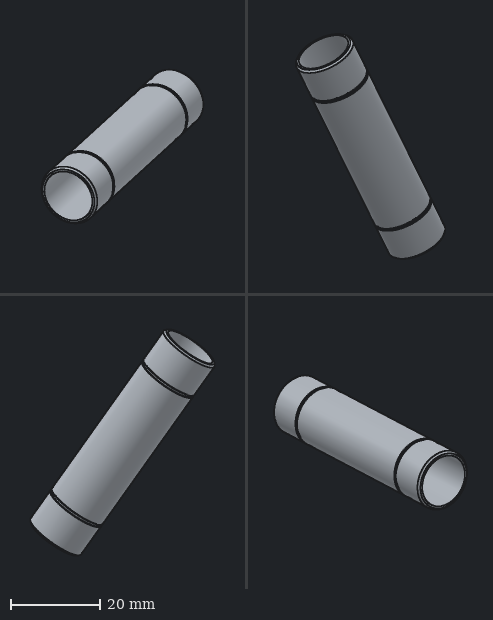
import cadquery as cq

length = 54.0
outer_diameter = 14.0
bore_diameter = 12.0
groove_diameter = 13.2
groove_width = 0.65
groove_offset = 8.4
chamfer = 0.5


def cylinder_along_y(diameter, start, span):
    """Solid cylinder on the Y axis, from y = start to y = start + span."""
    return cq.Workplane(cq.Solid.makeCylinder(
        diameter / 2, span, cq.Vector(0, start, 0), cq.Vector(0, 1, 0)))


def groove_ring(start):
    """Ring of material removed from the outside to form one groove."""
    outside = cylinder_along_y(outer_diameter, start, groove_width)
    return outside.cut(cylinder_along_y(groove_diameter, start, groove_width))


end = length / 2
body = cylinder_along_y(outer_diameter, -end, length)
body = body.faces("<Y or >Y").edges().chamfer(chamfer)

tube = body.cut(cylinder_along_y(bore_diameter, -end, length))

groove_starts = (-end + groove_offset, end - groove_offset - groove_width)
for groove_start in groove_starts:
    tube = tube.cut(groove_ring(groove_start))

result = tube